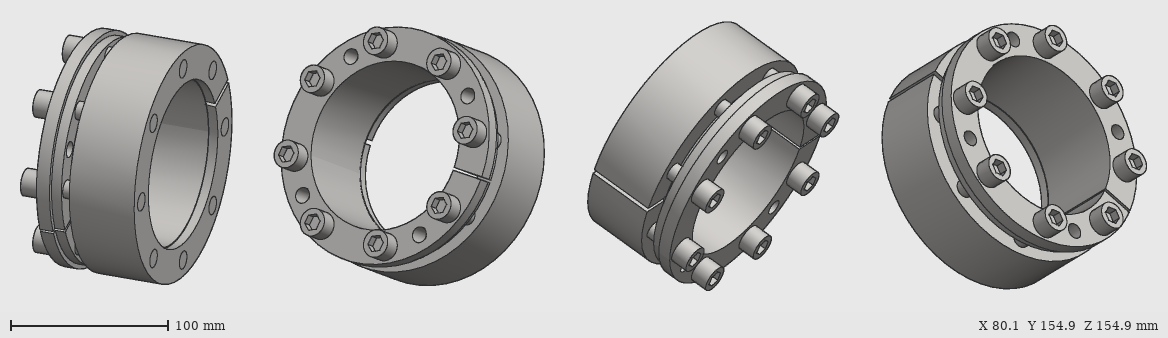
import cadquery as cq
import math

HEAD_LENGTH = 12.0
FLANGE_LENGTH = 9.1
STEP_LENGTH = 7.0
GAP_LENGTH = 7.0
RING_LENGTH = 45.0
SLEEVE_SETBACK = 6.5

RING_DIAMETER = 154.9
FLANGE_DIAMETER = 154.0
STEP_DIAMETER = 147.8
BORE_DIAMETER = 109.7

CONE_RADIUS = 59.5
CONE_ANGLE = 5.0

PITCH_RADIUS = 66.1
SCREW_COUNT = 8
HEAD_DIAMETER = 18.0
SHANK_DIAMETER = 12.0
SOCKET_FLATS = 9.9
SOCKET_DEPTH = 6.0
JACKING_COUNT = 4
JACKING_DIAMETER = 10.2
JACKING_ANGLE = 22.5

SLIT_ANGLE = 22.5
SLEEVE_SLIT_WIDTH = 1.9
RING_SLIT_WIDTH = 3.1

FLANGE_X = HEAD_LENGTH
STEP_X = FLANGE_X + FLANGE_LENGTH
CONE_X = STEP_X + STEP_LENGTH
RING_X = CONE_X + GAP_LENGTH
BACK_X = RING_X + RING_LENGTH
SLEEVE_END_X = BACK_X - SLEEVE_SETBACK


def cone_radius(x):
    """Radius of the mating cone, which narrows towards +X."""
    return CONE_RADIUS - (x - CONE_X) * math.tan(math.radians(CONE_ANGLE))


def cylinder(diameter, x_start, x_end):
    return cq.Workplane("YZ").workplane(offset=x_start).circle(diameter / 2).extrude(x_end - x_start)


def revolve_about_x(profile):
    """Solid of revolution from (x, radius) points."""
    return cq.Workplane("XY").polyline(profile).close().revolve(360, (0, 0, 0), (1, 0, 0))


def around_pitch_circle(tool, count, first_angle=0.0):
    """Copies of an axial tool, spaced evenly on the pitch circle."""
    copies = []
    for index in range(count):
        angle = math.radians(first_angle + index * 360 / count)
        offset = (0, PITCH_RADIUS * math.cos(angle), PITCH_RADIUS * math.sin(angle))
        copies.append(tool.translate(offset))
    return copies


def radial_slit(width, angle):
    """Cutter that opens one side of a ring over its whole length."""
    slit = cq.Workplane("XY").box(BACK_X, RING_DIAMETER, width, centered=(False, False, True))
    return slit.rotate((0, 0, 0), (1, 0, 0), angle)


def make_screw():
    """Socket head screw on the X axis, its shank ending flush with the back of the clamp ring."""
    head = cylinder(HEAD_DIAMETER, 0, HEAD_LENGTH)
    shank = cylinder(SHANK_DIAMETER, HEAD_LENGTH, BACK_X)
    corner_diameter = SOCKET_FLATS / math.cos(math.radians(30))
    socket = cq.Workplane("YZ").polygon(6, corner_diameter).extrude(SOCKET_DEPTH)
    return head.union(shank).cut(socket)


def make_sleeve():
    """Flanged inner sleeve with a tapered outside, slit along one side."""
    bore_radius = BORE_DIAMETER / 2
    sleeve = revolve_about_x([
        (FLANGE_X, bore_radius),
        (FLANGE_X, FLANGE_DIAMETER / 2),
        (STEP_X, FLANGE_DIAMETER / 2),
        (STEP_X, STEP_DIAMETER / 2),
        (CONE_X, STEP_DIAMETER / 2),
        (CONE_X, cone_radius(CONE_X)),
        (SLEEVE_END_X, cone_radius(SLEEVE_END_X)),
        (SLEEVE_END_X, bore_radius),
    ])
    for hole in around_pitch_circle(cylinder(SHANK_DIAMETER, FLANGE_X, CONE_X), SCREW_COUNT):
        sleeve = sleeve.cut(hole)
    jacking_hole = cylinder(JACKING_DIAMETER, FLANGE_X, CONE_X)
    for hole in around_pitch_circle(jacking_hole, JACKING_COUNT, -JACKING_ANGLE):
        sleeve = sleeve.cut(hole)
    return sleeve.cut(radial_slit(SLEEVE_SLIT_WIDTH, SLIT_ANGLE + 180))


def make_clamp_ring():
    """Outer ring with a bore that matches the sleeve's cone, slit along one side."""
    ring = revolve_about_x([
        (RING_X, cone_radius(RING_X)),
        (RING_X, RING_DIAMETER / 2),
        (BACK_X, RING_DIAMETER / 2),
        (BACK_X, cone_radius(BACK_X)),
    ])
    for hole in around_pitch_circle(cylinder(SHANK_DIAMETER, RING_X, BACK_X), SCREW_COUNT):
        ring = ring.cut(hole)
    return ring.cut(radial_slit(RING_SLIT_WIDTH, SLIT_ANGLE))


sleeve = make_sleeve()
clamp_ring = make_clamp_ring()
screws = around_pitch_circle(make_screw(), SCREW_COUNT)

result = cq.Compound.makeCompound(
    [sleeve.val(), clamp_ring.val()] + [screw.val() for screw in screws]
)